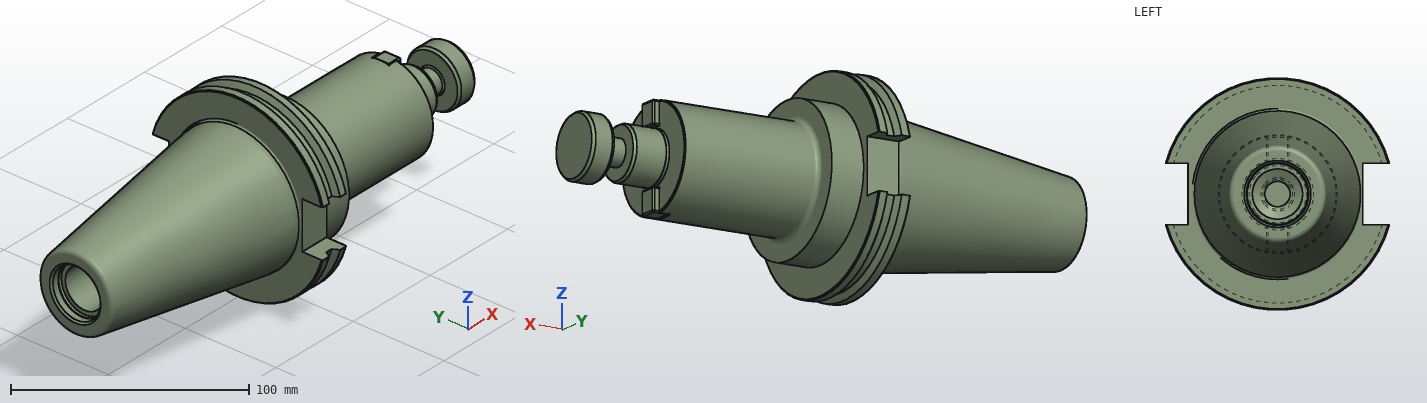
import cadquery as cq
import math

gauge_x = 101.7
flange_x = 105.0
flange_end_x = 120.8
collar_end_x = 136.5
shank_end_x = 203.3
spigot_end_x = 220.8
head_x = 231.5
overall_length = 242.5

collar_dia = 69.9
taper_ratio = 7 / 24
small_end_fillet = 2.2
collar_root_fillet = 1.0

flange_dia = 97.5
rim_chamfer = 0.5
groove_center_x = 113.0
groove_bottom_width = 3.6
groove_bottom_dia = 91.5
groove_wall_angle = 30.0
slot_width = 25.7
near_slot_floor = 36.0
far_slot_floor = 37.5

shank_dia = 50.0
shank_root_fillet = 2.2
shank_chamfer = 0.5
spigot_dia = 25.5
spigot_base_dia = 25.7
spigot_base_length = 1.5
spigot_chamfer_length = 1.5
spigot_chamfer_depth = 0.7

counterbore_dia = 26.2
counterbore_depth = 4.4
counterbore_chamfer = 1.0
pilot_dia = 25.5
pilot_end_x = 6.0
bore_dia = 21.0
bore_depth = 72.8
bore_floor_dia = 10.7
bore_cone_angle = 59.0

key_x = 198.0
key_length = 8.2
key_width = 9.5
key_top = 24.5
key_bottom = 13.3
key_chamfer = 0.7

screw_dia = 12.5
screw_tip_x = 174.7
head_dia = 30.0
head_chamfer_length = 1.5
head_chamfer_depth = 1.0
head_root_fillet = 0.7


def revolve_about_x(points):
    """Solid of revolution about X from a closed (x, radius) outline."""
    return cq.Workplane("XY").polyline(points).close().revolve(360, (0, 0, 0), (1, 0, 0))


def cylinder(x_start, x_end, dia):
    return cq.Workplane("YZ", origin=(x_start, 0, 0)).circle(dia / 2).extrude(x_end - x_start)


def make_blank():
    """Taper, collar, flange, shank and spigot as one turned blank."""
    collar_radius = collar_dia / 2
    flange_radius = flange_dia / 2
    shank_radius = shank_dia / 2
    spigot_radius = spigot_dia / 2
    spigot_base_radius = spigot_base_dia / 2
    small_radius = collar_radius - gauge_x * taper_ratio / 2
    spigot_base_end_x = shank_end_x + spigot_base_length
    blank = revolve_about_x([
        (0, 0),
        (0, small_radius),
        (gauge_x, collar_radius),
        (flange_x, collar_radius),
        (flange_x, flange_radius - rim_chamfer),
        (flange_x + rim_chamfer, flange_radius),
        (flange_end_x - rim_chamfer, flange_radius),
        (flange_end_x, flange_radius - rim_chamfer),
        (flange_end_x, collar_radius),
        (collar_end_x, collar_radius),
        (collar_end_x, shank_radius),
        (shank_end_x - shank_chamfer, shank_radius),
        (shank_end_x, shank_radius - shank_chamfer),
        (shank_end_x, spigot_base_radius),
        (spigot_base_end_x, spigot_base_radius),
        (spigot_base_end_x, spigot_radius),
        (spigot_end_x - spigot_chamfer_length, spigot_radius),
        (spigot_end_x, spigot_radius - spigot_chamfer_depth),
        (spigot_end_x, 0),
    ])

    def circle_at(x, radius):
        return cq.selectors.BoxSelector(
            (x - 0.12, -radius - 0.12, -radius - 0.12),
            (x + 0.12, radius + 0.12, radius + 0.12),
            boundingbox=True,
        )

    blank = blank.edges(circle_at(0, small_radius)).fillet(small_end_fillet)
    blank = blank.edges(circle_at(flange_x, collar_radius)).fillet(collar_root_fillet)
    return blank.edges(circle_at(collar_end_x, shank_radius)).fillet(shank_root_fillet)


def make_groove():
    """V groove around the flange rim, with a flat bottom."""
    depth = flange_dia / 2 - groove_bottom_dia / 2
    half_bottom = groove_bottom_width / 2
    half_top = half_bottom + depth * math.tan(math.radians(groove_wall_angle))
    return revolve_about_x([
        (groove_center_x - half_bottom, groove_bottom_dia / 2),
        (groove_center_x - half_top, flange_dia / 2),
        (groove_center_x + half_top, flange_dia / 2),
        (groove_center_x + half_bottom, groove_bottom_dia / 2),
    ])


def drive_slot(side, floor_radius):
    """Slot through the flange rim; side is +1 for the +Y slot and -1 for the -Y one."""
    slot_depth = flange_dia / 2 - floor_radius
    center = ((flange_x + flange_end_x) / 2, side * (floor_radius + slot_depth / 2), 0)
    return cq.Workplane("XY").box(flange_end_x - flange_x, slot_depth, slot_width).translate(center)


def make_rear_bore():
    """Chamfered counterbore, a slightly narrower pilot, the bore and its conical end with a flat floor."""
    counterbore_radius = counterbore_dia / 2
    bore_radius = bore_dia / 2
    floor_radius = bore_floor_dia / 2
    cone_length = (bore_radius - floor_radius) / math.tan(math.radians(bore_cone_angle))
    return revolve_about_x([
        (0, 0),
        (0, counterbore_radius + counterbore_chamfer),
        (counterbore_chamfer, counterbore_radius),
        (counterbore_depth, counterbore_radius),
        (counterbore_depth, pilot_dia / 2),
        (pilot_end_x, pilot_dia / 2),
        (pilot_end_x, bore_radius),
        (bore_depth, bore_radius),
        (bore_depth + cone_length, floor_radius),
        (bore_depth + cone_length, 0),
    ])


def key_block(side, outer_radius):
    """Block from the key bottom out to outer_radius; side is +1 for the top and -1 for the bottom."""
    height = outer_radius - key_bottom
    center = (key_x + key_length / 2, 0, side * (key_bottom + height / 2))
    return cq.Workplane("XY").box(key_length, key_width, height).translate(center)


def make_holder():
    holder = make_blank().cut(make_groove()).cut(make_rear_bore())
    holder = holder.cut(drive_slot(-1, near_slot_floor)).cut(drive_slot(1, far_slot_floor))
    for side in (-1, 1):
        holder = holder.cut(key_block(side, shank_dia / 2))
    return holder.cut(cylinder(screw_tip_x, spigot_end_x, screw_dia))


def make_key(side):
    return key_block(side, key_top).edges().chamfer(key_chamfer)


def make_screw():
    screw_radius = screw_dia / 2
    head_radius = head_dia / 2
    face_radius = head_radius - head_chamfer_depth
    return revolve_about_x([
        (screw_tip_x, 0),
        (screw_tip_x, screw_radius),
        (head_x - head_root_fillet, screw_radius),
        (head_x, screw_radius + head_root_fillet),
        (head_x, face_radius),
        (head_x + head_chamfer_length, head_radius),
        (overall_length - head_chamfer_length, head_radius),
        (overall_length, face_radius),
        (overall_length, 0),
    ])


holder = make_holder()
keys = [make_key(side) for side in (-1, 1)]
screw = make_screw()

result = cq.Compound.makeCompound([holder.val(), *[key.val() for key in keys], screw.val()])